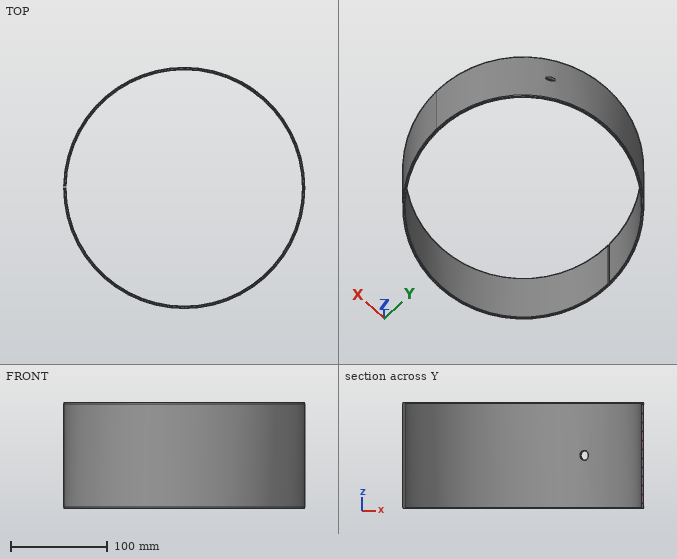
import cadquery as cq

outer_diameter = 250.0
height = 110.0
wall = 2.5
bevel_width = 0.62
outer_bevel_height = 1.8
inner_bevel_height = 1.0
slit_width = 2.0
hole_diameter = 10.0
hole_angle = 59.0

outer_radius = outer_diameter / 2
inner_radius = outer_radius - wall
mid_height = height / 2


def make_band():
    """Thin cylindrical band with chamfered rims, steeper outside than inside."""
    profile = [
        (inner_radius, inner_bevel_height),
        (inner_radius + bevel_width, 0),
        (outer_radius - bevel_width, 0),
        (outer_radius, outer_bevel_height),
        (outer_radius, height - outer_bevel_height),
        (outer_radius - bevel_width, height),
        (inner_radius + bevel_width, height),
        (inner_radius, height - inner_bevel_height),
    ]
    return cq.Workplane("XZ").polyline(profile).close().revolve(360, (0, 0), (0, 1))


def make_slit():
    """Full-height cutter through the -X wall, with one face on the XZ plane."""
    return cq.Workplane("XY").box(
        outer_radius, slit_width, height, centered=(False, False, False)
    ).translate((-outer_radius, 0, 0))


def make_hole():
    """Radial cutter reaching from the axis through one side of the wall."""
    cutter = cq.Workplane("YZ").circle(hole_diameter / 2).extrude(outer_diameter)
    return cutter.translate((0, 0, mid_height)).rotate((0, 0, 0), (0, 0, 1), hole_angle)


result = make_band().cut(make_slit()).cut(make_hole())